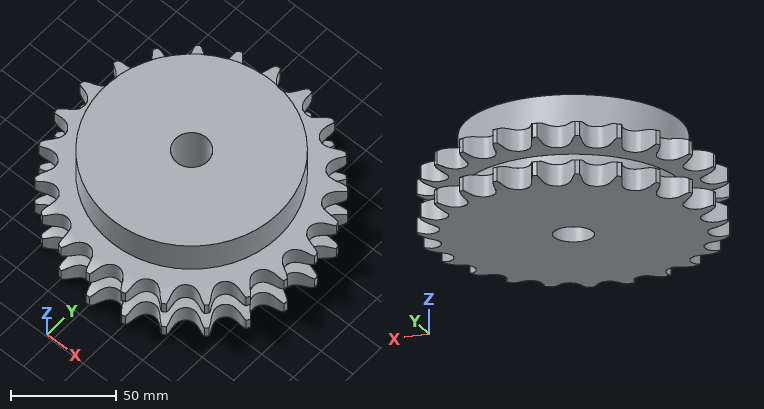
import cadquery as cq
import math


overall_width = 148.8
overall_height = 50.0
tooth_count = 23
chain_pitch = 19.0
tooth_thickness = 10.9
row_spacing = 19.5
hub_diameter = 110.0
bore_diameter = 20.0

seat_radius = 6.1
seat_end_angle = 37.6
working_arc_angle = 15.6
working_radius = 15.8
flank_length = 1.5
tip_width = 2.2
side_relief_depth = 8.3
side_relief_radius = chain_pitch

half_step = 180.0 / tooth_count
pitch_radius = chain_pitch / (2 * math.sin(math.radians(half_step)))
tip_half_angle = math.degrees(tip_width / overall_width)
tip_radius = overall_width / 2 / math.cos(math.radians(half_step / 2 - tip_half_angle))
hub_radius = hub_diameter / 2
rows_height = row_spacing + tooth_thickness


def revolve_about_z(profile):
    """Revolve an XZ-plane profile about the Z axis."""
    return profile.revolve(360, (0, 0, 0), (0, 1, 0))


def toothless_disc(bottom):
    """Disc whose rim curves inward on both faces, tangent to the flat sides."""
    top = bottom + tooth_thickness
    relief_start = tip_radius - side_relief_depth
    relief_drop = side_relief_radius - math.sqrt(side_relief_radius**2 - side_relief_depth**2)
    profile = (
        cq.Workplane("XZ")
        .moveTo(0, bottom)
        .lineTo(relief_start, bottom)
        .tangentArcPoint((tip_radius, bottom + relief_drop), relative=False)
        .lineTo(tip_radius, top - relief_drop)
        .radiusArc((relief_start, top), -side_relief_radius)
        .lineTo(0, top)
        .close()
    )
    return revolve_about_z(profile)


def tooth_gap():
    """Cutter for the gap centred on +Y: seat, then hollow, straight and rounded flanks on each side."""
    seat_slope = math.radians(seat_end_angle)
    flank_slope = math.radians(seat_end_angle - working_arc_angle)

    seat_x = seat_radius * math.cos(seat_slope)
    seat_y = pitch_radius - seat_radius * math.sin(seat_slope)
    hollow_x = seat_x + working_radius * (math.cos(flank_slope) - math.cos(seat_slope))
    hollow_y = seat_y + working_radius * (math.sin(seat_slope) - math.sin(flank_slope))
    bend_x = hollow_x + flank_length * math.sin(flank_slope)
    bend_y = hollow_y + flank_length * math.cos(flank_slope)
    tip_angle = math.radians(half_step - tip_half_angle)
    tip_x = tip_radius * math.sin(tip_angle)
    tip_y = tip_radius * math.cos(tip_angle)
    outer_y = tip_radius + seat_radius

    chord = math.hypot(tip_x - bend_x, tip_y - bend_y)
    turn = math.atan2(tip_x - bend_x, tip_y - bend_y) - flank_slope
    topping_radius = chord / (2 * math.sin(turn))

    return (
        cq.Workplane("XY")
        .moveTo(-tip_x, tip_y)
        .radiusArc((-bend_x, bend_y), topping_radius)
        .lineTo(-hollow_x, hollow_y)
        .radiusArc((-seat_x, seat_y), -working_radius)
        .threePointArc((0, pitch_radius - seat_radius), (seat_x, seat_y))
        .radiusArc((hollow_x, hollow_y), -working_radius)
        .lineTo(bend_x, bend_y)
        .radiusArc((tip_x, tip_y), topping_radius)
        .lineTo(tip_x, outer_y)
        .lineTo(-tip_x, outer_y)
        .close()
        .extrude(rows_height)
    )


body = cq.Workplane("XY").circle(hub_radius).extrude(overall_height)
for row in range(2):
    body = body.union(toothless_disc(row * row_spacing))

gap = tooth_gap()
for index in range(tooth_count):
    body = body.cut(gap.rotate((0, 0, 0), (0, 0, 1), index * 2 * half_step))

bore = cq.Workplane("XY").circle(bore_diameter / 2).extrude(overall_height)
result = body.cut(bore)